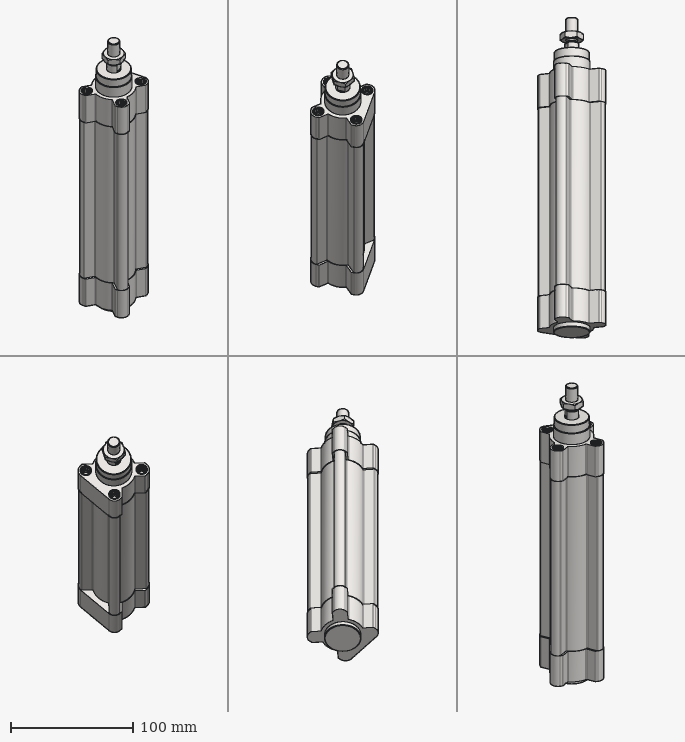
import cadquery as cq
import math

FOOT_HEIGHT = 4.0
CAP_LENGTH = 28.4
REAR_CAP_TOP = FOOT_HEIGHT + CAP_LENGTH
FRONT_CAP_TOP = 223.0
FRONT_CAP_BASE = FRONT_CAP_TOP - CAP_LENGTH
COLLAR_STEP = 233.6
COLLAR_TOP = 241.2
ROD_SHOULDER = 248.5
NECK_BASE = 249.5
NECK_TOP = 250.5
NUT_BASE = 251.5
NUT_HEIGHT = 5.7
ROD_TOP = 270.0

CAP_WIDTH = 45.0
CAP_CORE_DIAMETER = 36.5
CAP_CORE_RADIUS = CAP_CORE_DIAMETER / 2
CAP_LOBE_HALF_WIDTH = 6.2
BARREL_INSET = 0.4
BARREL_LOBE_HALF_WIDTH = 4.5
SCREW_OFFSET = 16.2
LOBE_EDGE_FILLET = 1.0
LOBE_ROOT_FILLET = 0.8

COLLAR_DIAMETER = 30.0
COLLAR_NECK_DIAMETER = 29.0
COLLAR_CHAMFER = 0.5
FOOT_CHAMFER = 0.5

SOCKET_MOUTH_DIAMETER = 9.5
SOCKET_DIAMETER = 8.0
SOCKET_CHAMFER = (SOCKET_MOUTH_DIAMETER - SOCKET_DIAMETER) / 2
SOCKET_DEPTH = 0.8
HEX_ACROSS_FLATS = 6.2
HEX_DEPTH = 3.8
SEAT_DIAMETER = 6.0
PILOT_DIAMETER = 4.9
PILOT_DEPTH = 2.7
PILOT_TIP_DEPTH = 1.4

ROD_DIAMETER = 12.0
ROD_ACROSS_FLATS = 10.0
FLAT_GAP = 0.8
FLAT_BASE = COLLAR_TOP + FLAT_GAP
THREAD_DIAMETER = 10.0
NECK_DIAMETER = 8.0
RING_DIAMETER = 9.5
THREAD_LEAD_IN = 1.4
ROD_TIP_CHAMFER = 0.68
NUT_ACROSS_FLATS = 17.0
NUT_BEVEL_ANGLE = 30
NUT_CHAMFER_SLOPE = math.tan(math.radians(NUT_BEVEL_ANGLE))


def disc(diameter, base, top):
    """Upright cylinder on the central axis."""
    return cq.Workplane("XY").workplane(offset=base).circle(diameter / 2).extrude(top - base)


def revolved(profile):
    """Solid of revolution about Z from (radius, height) points."""
    return cq.Workplane("XZ").polyline(profile).close().revolve(360, (0, 0, 0), (0, 1, 0))


def fillet_upright_edge(body, point, radius):
    """Round the upright edge of the body that stands nearest to the point."""
    return body.edges("|Z").edges(cq.selectors.NearestToPointSelector(point)).fillet(radius)


def corner_lobe(half_side, half_width, base, top):
    """Lobe on the +X +Y diagonal: rounded outside, with sides parallel to the diagonal."""
    side_offset = half_width * math.sqrt(2)
    inner = half_side - side_offset
    lobe = (
        cq.Workplane("XY").workplane(offset=base)
        .moveTo(0, 0)
        .lineTo(side_offset, 0)
        .lineTo(half_side, inner)
        .lineTo(half_side, half_side)
        .lineTo(inner, half_side)
        .lineTo(0, side_offset)
        .close()
        .extrude(top - base)
    )
    lobe = fillet_upright_edge(lobe, (half_side, half_side, base), half_side - SCREW_OFFSET)
    for shoulder in ((half_side, inner, base), (inner, half_side, base)):
        lobe = fillet_upright_edge(lobe, shoulder, LOBE_EDGE_FILLET)
    return lobe


def lobed_block(half_side, core_radius, lobe_half_width, base, top):
    """Round core with a lobe on each of the four diagonals and rounded roots beside the lobes."""
    block = disc(2 * core_radius, base, top)
    lobe = corner_lobe(half_side, lobe_half_width, base, top)
    for quarter in range(4):
        block = block.union(lobe.rotate((0, 0, 0), (0, 0, 1), 90 * quarter))
    root_limit = (core_radius + half_side) / 2
    roots = block.edges("|Z").filter(lambda edge: math.hypot(edge.Center().x, edge.Center().y) < root_limit)
    return roots.fillet(LOBE_ROOT_FILLET)


def end_cap(base):
    """End cap: lobed block with a flat port face on the +Y side."""
    half_side = CAP_WIDTH / 2
    cap = lobed_block(half_side, CAP_CORE_RADIUS, CAP_LOBE_HALF_WIDTH, base, base + CAP_LENGTH)
    port_block = (
        cq.Workplane("XY").workplane(offset=base)
        .center(0, half_side / 2)
        .rect(2 * SCREW_OFFSET, half_side)
        .extrude(CAP_LENGTH)
    )
    return cap.union(port_block)


def make_barrel():
    """Profile tube body, slightly inside the caps."""
    return lobed_block(
        CAP_WIDTH / 2 - BARREL_INSET,
        CAP_CORE_RADIUS - BARREL_INSET,
        BARREL_LOBE_HALF_WIDTH,
        REAR_CAP_TOP,
        FRONT_CAP_BASE,
    )


def screw_socket():
    """Twelve-point socket (two crossed hexagons) below a round mouth, with a drilled pilot."""
    socket_floor = FRONT_CAP_TOP - SOCKET_DEPTH
    hex_floor = socket_floor - HEX_DEPTH
    seat_floor = hex_floor - (SEAT_DIAMETER - PILOT_DIAMETER) / 2
    pilot_floor = hex_floor - PILOT_DEPTH
    round_part = revolved([
        (0, FRONT_CAP_TOP),
        (SOCKET_MOUTH_DIAMETER / 2, FRONT_CAP_TOP),
        (SOCKET_DIAMETER / 2, FRONT_CAP_TOP - SOCKET_CHAMFER),
        (SOCKET_DIAMETER / 2, socket_floor),
        (SEAT_DIAMETER / 2, socket_floor),
        (SEAT_DIAMETER / 2, hex_floor),
        (PILOT_DIAMETER / 2, seat_floor),
        (PILOT_DIAMETER / 2, pilot_floor),
        (0, pilot_floor - PILOT_TIP_DEPTH),
    ])
    hexagon = (
        cq.Workplane("XY").workplane(offset=hex_floor)
        .polygon(6, 2 * HEX_ACROSS_FLATS / math.sqrt(3))
        .extrude(HEX_DEPTH)
    )
    socket = round_part
    for turn in (0, 30):
        socket = socket.union(hexagon.rotate((0, 0, 0), (0, 0, 1), turn))
    return socket


def make_housing():
    """Barrel with both end caps, collar, foot, screw sockets and the rod bore."""
    foot = disc(COLLAR_DIAMETER, 0, FOOT_HEIGHT).faces("<Z").chamfer(FOOT_CHAMFER)
    collar = disc(COLLAR_DIAMETER, FRONT_CAP_TOP, COLLAR_STEP).faces(">Z").chamfer(COLLAR_CHAMFER)
    collar_neck = disc(COLLAR_NECK_DIAMETER, COLLAR_STEP, COLLAR_TOP).faces(">Z").chamfer(COLLAR_CHAMFER)
    housing = make_barrel()
    for part in (end_cap(FOOT_HEIGHT), end_cap(FRONT_CAP_BASE), foot, collar, collar_neck):
        housing = housing.union(part)
    for x in (-SCREW_OFFSET, SCREW_OFFSET):
        for y in (-SCREW_OFFSET, SCREW_OFFSET):
            housing = housing.cut(screw_socket().translate((x, y, 0)))
    return housing.cut(disc(ROD_DIAMETER, FRONT_CAP_BASE, COLLAR_TOP))


def make_rod():
    """Piston rod: thick shank with two wrench flats, neck and threaded end."""
    rod = revolved([
        (0, FRONT_CAP_BASE),
        (ROD_DIAMETER / 2, FRONT_CAP_BASE),
        (ROD_DIAMETER / 2, ROD_SHOULDER),
        (RING_DIAMETER / 2, ROD_SHOULDER),
        (RING_DIAMETER / 2, NECK_BASE),
        (NECK_DIAMETER / 2, NECK_BASE),
        (NECK_DIAMETER / 2, NECK_TOP),
        (THREAD_DIAMETER / 2, NECK_TOP + THREAD_LEAD_IN),
        (THREAD_DIAMETER / 2, ROD_TOP - ROD_TIP_CHAMFER),
        (THREAD_DIAMETER / 2 - ROD_TIP_CHAMFER, ROD_TOP),
        (0, ROD_TOP),
    ])
    for side in (-1, 1):
        flat_cut = (
            cq.Workplane("XY").workplane(offset=FLAT_BASE)
            .center(side * (ROD_ACROSS_FLATS + ROD_DIAMETER) / 2, 0)
            .rect(ROD_DIAMETER, ROD_DIAMETER)
            .extrude(ROD_SHOULDER - FLAT_BASE)
        )
        rod = rod.cut(flat_cut)
    return rod


def make_nut():
    """Hex lock nut with corners along Y, chamfered at both ends."""
    corner_radius = NUT_ACROSS_FLATS / math.sqrt(3)
    face_radius = NUT_ACROSS_FLATS / 2
    bevel = (corner_radius - face_radius) * NUT_CHAMFER_SLOPE
    top = NUT_BASE + NUT_HEIGHT
    hexagon = (
        cq.Workplane("XY").workplane(offset=NUT_BASE)
        .polygon(6, 2 * corner_radius)
        .extrude(NUT_HEIGHT)
        .rotate((0, 0, 0), (0, 0, 1), 90)
    )
    envelope = revolved([
        (0, NUT_BASE),
        (face_radius, NUT_BASE),
        (corner_radius, NUT_BASE + bevel),
        (corner_radius, top - bevel),
        (face_radius, top),
        (0, top),
    ])
    return hexagon.intersect(envelope).cut(disc(THREAD_DIAMETER, NUT_BASE, top))


housing = make_housing()
rod = make_rod()
nut = make_nut()

result = cq.Compound.makeCompound([housing.val(), rod.val(), nut.val()])